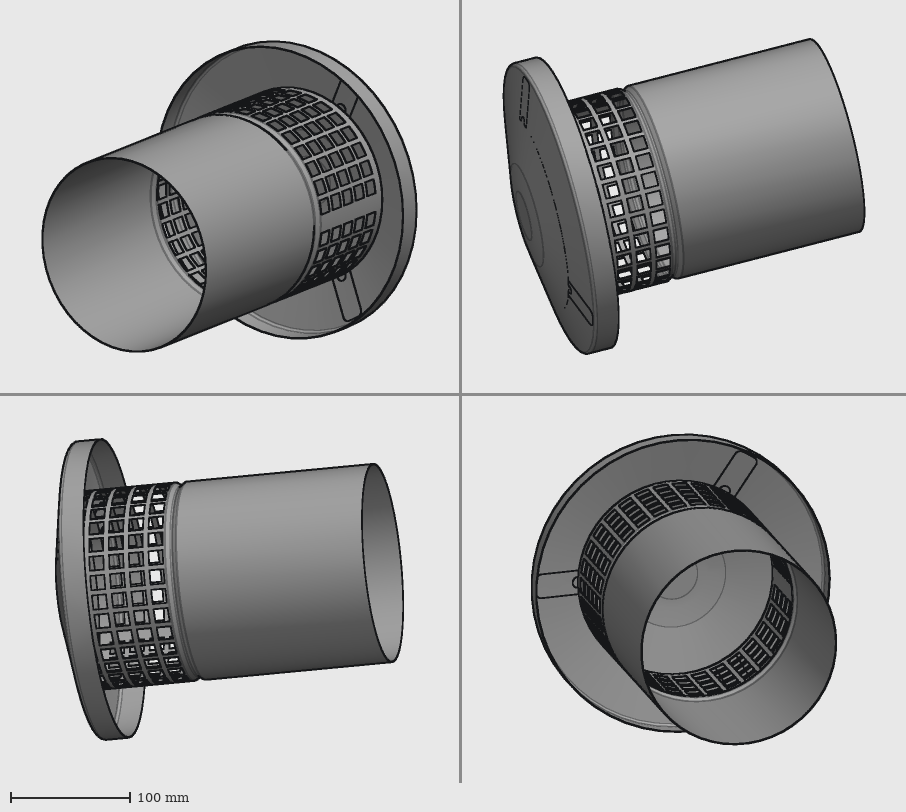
import cadquery as cq
import math


total_length = 273.7
sheet = 0.68

cap_radius = 252.0 / 2
cap_rim_y = 230.0
cap_corner_radius = 3.0
cap_flat_radius = 21.3
dome_edge_radius = 45.0
cone_angle = math.radians(13.6)
dome_radius = (dome_edge_radius - cap_flat_radius) / math.sin(cone_angle)
dome_drop = dome_radius * (1 - math.cos(cone_angle))

pipe_radius = 167.5 / 2
pipe_bore_radius = pipe_radius - sheet

groove_y = 164.5
groove_depth = 3.0
groove_shoulder_radius = 1.5
groove_floor_radius = 1.5
flank_angle = math.radians(35)

opening_size = 12.0
opening_columns = 31
column_pitch = 11.35
opening_rows = 5
first_row_y = 177.0
row_pitch = 17.0

tab_angles = (60, 180, 300)
tab_width = 20.5
tab_start_radius = pipe_radius - sheet / 2
tab_reach = 121.5
tab_corner_radius = 5.0
tab_hole_diameter = 9.3


def cone_y(radius, depth):
    """Y of the cone surface lying the given depth below the cap's outer cone."""
    start_y = total_length - dome_drop
    return start_y - (radius - dome_edge_radius) * math.tan(cone_angle) - depth / math.cos(cone_angle)


def point_on_arc(center, radius, angle):
    return (center[0] + radius * math.cos(angle), center[1] + radius * math.sin(angle))


pipe_end_y = cone_y(tab_start_radius, 1.5 * sheet)


def cap_side(depth):
    """Solid of revolution inside the cap surface that lies the given depth below its outside."""
    radius = cap_radius - depth
    corner = cap_corner_radius - depth
    dome = dome_radius - depth
    normal = math.pi / 2 - cone_angle
    dome_center = (cap_flat_radius, total_length - dome_radius)
    corner_x = radius - corner
    corner_center = (corner_x, cone_y(corner_x, depth + corner))
    return (
        cq.Workplane("XY")
        .moveTo(0, cap_rim_y)
        .lineTo(radius, cap_rim_y)
        .lineTo(radius, corner_center[1])
        .threePointArc(
            point_on_arc(corner_center, corner, normal / 2),
            point_on_arc(corner_center, corner, normal),
        )
        .lineTo(*point_on_arc(dome_center, dome, normal))
        .threePointArc(
            point_on_arc(dome_center, dome, (normal + math.pi / 2) / 2),
            point_on_arc(dome_center, dome, math.pi / 2),
        )
        .lineTo(0, total_length - depth)
        .close()
        .revolve(360, (0, 0, 0), (0, 1, 0))
    )


def make_cap():
    return cap_side(0).cut(cap_side(sheet))


def pipe_side(radius, shoulder, floor):
    """Solid of revolution inside one face of the pipe wall, with the groove's bends in that face."""
    bend_drop = (shoulder + floor) * (1 - math.cos(flank_angle))
    flank_length = (groove_depth - bend_drop) / math.tan(flank_angle)
    half_width = (shoulder + floor) * math.sin(flank_angle) + flank_length
    lower_center = (radius - shoulder, groove_y - half_width)
    upper_center = (radius - shoulder, groove_y + half_width)
    floor_center = (radius - groove_depth + floor, groove_y)
    return (
        cq.Workplane("XY")
        .moveTo(0, 0)
        .lineTo(radius, 0)
        .lineTo(radius, lower_center[1])
        .threePointArc(
            point_on_arc(lower_center, shoulder, flank_angle / 2),
            point_on_arc(lower_center, shoulder, flank_angle),
        )
        .lineTo(*point_on_arc(floor_center, floor, math.pi + flank_angle))
        .threePointArc(
            point_on_arc(floor_center, floor, math.pi),
            point_on_arc(floor_center, floor, math.pi - flank_angle),
        )
        .lineTo(*point_on_arc(upper_center, shoulder, -flank_angle))
        .threePointArc(
            point_on_arc(upper_center, shoulder, -flank_angle / 2),
            (radius, upper_center[1]),
        )
        .lineTo(radius, pipe_end_y)
        .lineTo(0, pipe_end_y)
        .close()
        .revolve(360, (0, 0, 0), (0, 1, 0))
    )


def make_openings():
    """Blocks that cut the openings, in columns spread evenly to both sides of -X."""
    blocks = []
    middle_column = (opening_columns - 1) / 2
    for column in range(opening_columns):
        angle = (column - middle_column) * column_pitch
        for row in range(opening_rows):
            block = (
                cq.Workplane("XY")
                .box(pipe_radius, opening_size, opening_size)
                .translate((-pipe_radius, first_row_y + row * row_pitch, 0))
                .rotate((0, 0, 0), (0, 1, 0), angle)
            )
            blocks.append(block.val())
    return cq.Workplane(cq.Compound.makeCompound(blocks))


def make_tab(angle):
    """A round-cornered strip of the cone just under the cap, with a hole at its bend."""
    cone_band = (
        cq.Workplane("XY")
        .polyline([
            (tab_start_radius, cone_y(tab_start_radius, 2 * sheet)),
            (tab_reach, cone_y(tab_reach, 2 * sheet)),
            (tab_reach, cone_y(tab_reach, sheet)),
            (tab_start_radius, cone_y(tab_start_radius, sheet)),
        ])
        .close()
        .revolve(360, (0, 0, 0), (0, 1, 0))
    )
    strip = (
        cq.Workplane("XZ")
        .rect(tab_reach, tab_width)
        .extrude(-total_length)
        .translate((tab_reach / 2, 0, 0))
        .edges("|Y and >X")
        .fillet(tab_corner_radius)
    )
    hole = (
        cq.Workplane("XZ")
        .center(pipe_radius, 0)
        .circle(tab_hole_diameter / 2)
        .extrude(-total_length)
    )
    return cone_band.intersect(strip).cut(hole).rotate((0, 0, 0), (0, 1, 0), angle)


def make_pipe():
    outside = pipe_side(pipe_radius, groove_shoulder_radius, groove_floor_radius)
    inside = pipe_side(pipe_bore_radius, groove_shoulder_radius - sheet, groove_floor_radius + sheet)
    pipe = outside.cut(inside).cut(make_openings())
    for angle in tab_angles:
        pipe = pipe.union(make_tab(angle))
    return pipe


cap = make_cap()
pipe = make_pipe()

result = cq.Compound.makeCompound([cap.val(), pipe.val()])